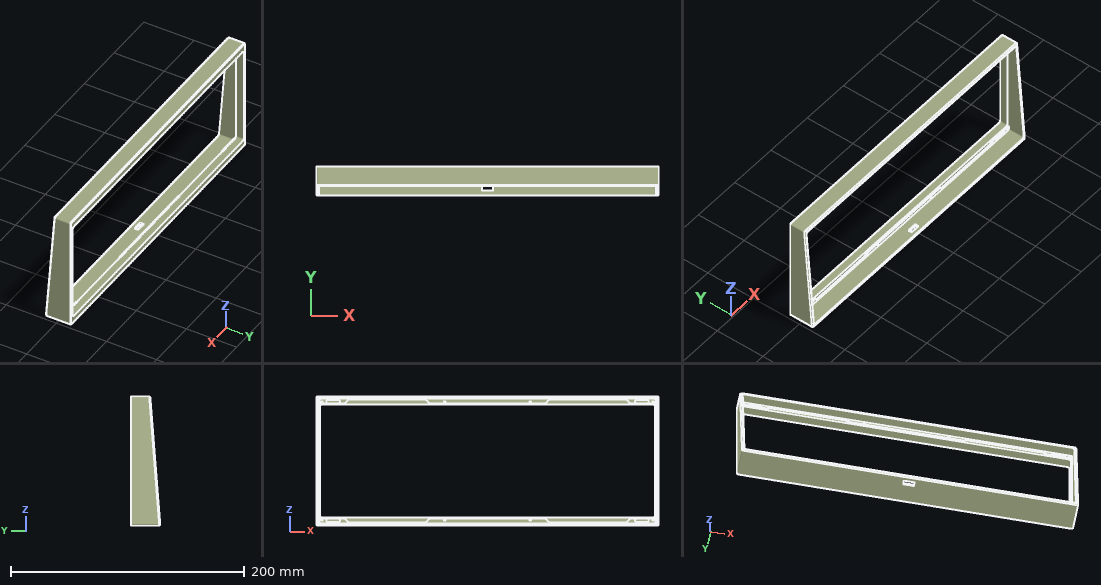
import cadquery as cq
import math

LENGTH = 293.75
HEIGHT = 111.25
DEPTH_BOTTOM = 25.57
FRONT_ANGLE = 4.45
WALL = 2.4
CORNER_RADIUS = 1.9
INNER_CORNER_RADIUS = 1.6
FRONT_CHAMFER = 1.2
BACK_CHAMFER = 0.7
INNER_CHAMFER = 0.45

FLANGE_DEPTH = 9.0
OPENING_INSET_X = 3.3
OPENING_INSET_Z = 7.2
OPENING_RADIUS = 2.0

SEAT_DEPTH = 1.25
SEAT_MARGIN = 1.0
NOTCH_INSET_Z = 3.1
NOTCH_HALF_LENGTH = 33.3
NOTCH_CENTRE_X = 86.0
NOTCH_FLARE = 3.0

HOLE_DIAMETER = 1.62
HOLE_DEPTH = 5.0
HOLE_INSET_Z = 5.1
INNER_HOLE_X = 36.7
CORNER_HOLE_INSET_X = 4.8
SLOT_LENGTH = 11.9
SLOT_WIDTH = 2.6
SLOT_DEPTH = 1.5
SLOT_INSET_X = 14.5
SLOT_INSET_Z = 4.8

WINDOW_LENGTH = 9.4
WINDOW_WIDTH = 3.6
WINDOW_FROM_BACK = 19.0
WINDOW_RADIUS = 0.4

HALF_LENGTH = LENGTH / 2
HALF_HEIGHT = HEIGHT / 2
FRONT_SLOPE = math.tan(math.radians(FRONT_ANGLE))
SHARP_DEPTH_BOTTOM = DEPTH_BOTTOM + FRONT_CHAMFER * math.sin(math.radians(FRONT_ANGLE))
SHARP_DEPTH_TOP = SHARP_DEPTH_BOTTOM - HEIGHT * FRONT_SLOPE
SEAT_FLOOR = FLANGE_DEPTH - SEAT_DEPTH
FRONT_NORMAL = cq.Vector(0, -1, FRONT_SLOPE)
FRONT_FACE = cq.DirectionMinMaxSelector(FRONT_NORMAL, True)
OPENING_HALF_Z = HALF_HEIGHT - OPENING_INSET_Z
SEAT_HALF_Z = OPENING_HALF_Z + SEAT_MARGIN


def plate(size_x, size_z, corner_radius, start, end):
    """Rounded rectangular block between two distances in front of the back face."""
    block = cq.Workplane("XZ", origin=(0, -start, 0)).rect(size_x, size_z).extrude(end - start)
    return block.edges("|Y").fillet(corner_radius)


def outer_wedge():
    """Solid wedge with rounded corners and chamfered front and back edges."""
    profile = [
        (0, -HALF_HEIGHT),
        (-SHARP_DEPTH_BOTTOM, -HALF_HEIGHT),
        (-SHARP_DEPTH_TOP, HALF_HEIGHT),
        (0, HALF_HEIGHT),
    ]
    wedge = cq.Workplane("YZ", origin=(-HALF_LENGTH, 0, 0)).polyline(profile).close().extrude(LENGTH)
    wedge = wedge.edges("|Y").fillet(CORNER_RADIUS)
    wedge = wedge.faces(FRONT_FACE).edges().chamfer(FRONT_CHAMFER)
    return wedge.faces(">Y").edges().chamfer(BACK_CHAMFER)


def notch(centre_x, side):
    """Tapered widening of the seat towards the top (side = 1) or bottom (side = -1) wall."""
    near = NOTCH_HALF_LENGTH
    far = NOTCH_HALF_LENGTH + NOTCH_FLARE
    z_wall = HALF_HEIGHT - NOTCH_INSET_Z
    outline = [
        (centre_x - near, side * z_wall),
        (centre_x + near, side * z_wall),
        (centre_x + far, side * SEAT_HALF_Z),
        (centre_x + far, side * OPENING_HALF_Z),
        (centre_x - far, side * OPENING_HALF_Z),
        (centre_x - far, side * SEAT_HALF_Z),
    ]
    plane = cq.Workplane("XZ", origin=(0, -SEAT_FLOOR, 0))
    return plane.polyline(outline).close().extrude(SEAT_DEPTH)


def seat():
    """Band from side wall to side wall, with two notches along each long edge."""
    plane = cq.Workplane("XZ", origin=(0, -SEAT_FLOOR, 0))
    cut = plane.rect(LENGTH - 2 * WALL, 2 * SEAT_HALF_Z).extrude(SEAT_DEPTH)
    for centre_x in (-NOTCH_CENTRE_X, NOTCH_CENTRE_X):
        for side in (-1, 1):
            cut = cut.union(notch(centre_x, side))
    return cut


def mirrored_points(x, z):
    """The four points at plus and minus x and z."""
    return [(sx * x, sz * z) for sx in (-1, 1) for sz in (-1, 1)]


def flange_front():
    """Sketch plane on the front of the flange, facing -Y."""
    return cq.Workplane("XZ", origin=(0, -FLANGE_DEPTH, 0))


def holes():
    """Blind screw holes in the proud areas of the flange."""
    hole_z = HALF_HEIGHT - HOLE_INSET_Z
    points = mirrored_points(INNER_HOLE_X, hole_z)
    points += mirrored_points(HALF_LENGTH - CORNER_HOLE_INSET_X, hole_z)
    return flange_front().pushPoints(points).circle(HOLE_DIAMETER / 2).extrude(-HOLE_DEPTH)


def slots():
    """Shallow round-ended pockets near the corners."""
    points = mirrored_points(HALF_LENGTH - SLOT_INSET_X, HALF_HEIGHT - SLOT_INSET_Z)
    return flange_front().pushPoints(points).slot2D(SLOT_LENGTH, SLOT_WIDTH).extrude(-SLOT_DEPTH)


def window():
    """Rectangular opening through the bottom wall."""
    block = cq.Workplane("XY", origin=(0, -WINDOW_FROM_BACK, -HALF_HEIGHT))
    block = block.rect(WINDOW_LENGTH, WINDOW_WIDTH).extrude(WALL)
    return block.edges("|Z").fillet(WINDOW_RADIUS)


cavity = plate(
    LENGTH - 2 * WALL, HEIGHT - 2 * WALL, INNER_CORNER_RADIUS, FLANGE_DEPTH, SHARP_DEPTH_BOTTOM
)
opening = plate(
    LENGTH - 2 * OPENING_INSET_X, 2 * OPENING_HALF_Z, OPENING_RADIUS, 0, FLANGE_DEPTH
)

shell = outer_wedge().cut(cavity)
inner_rim = shell.faces(FRONT_FACE).val().innerWires()[0]
shell = shell.newObject(inner_rim.Edges()).chamfer(INNER_CHAMFER)

result = shell.cut(opening).cut(seat())
result = result.cut(holes()).cut(slots()).cut(window())